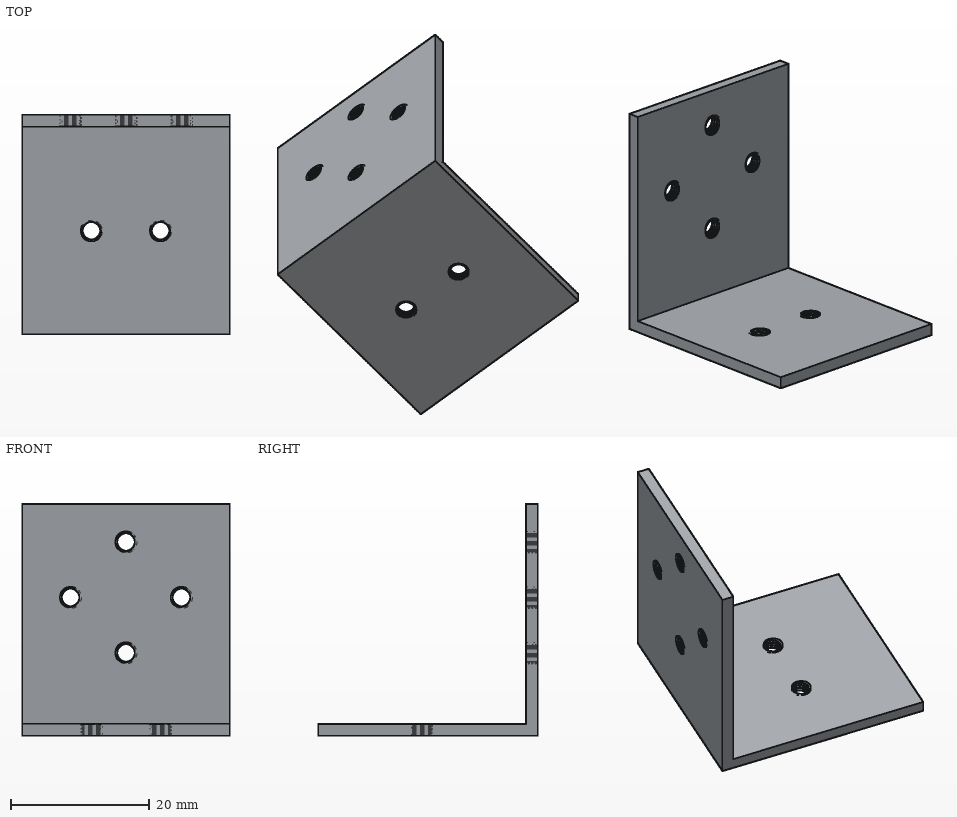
import cadquery as cq

width = 30.0
depth = 31.75
height = 33.5
thickness = 1.75

bore_diameter = 2.5
thread_diameter = 3.08
pitch = 0.5
groove_mouth = 0.45
groove_root = 0.07
overlap = 0.07
base_thread_start = 110.0
wall_thread_start = 20.0

base_hole_spacing = 9.98
base_hole_from_front = 14.97
wall_pattern_radius = 8.0
wall_pattern_height = 20.0


def threaded_cutters(start_angle):
    """Helical groove, then bore, along +Z, one pitch longer than the plate at each end."""
    length = thickness + 2 * pitch
    bore_radius = bore_diameter / 2
    inner_radius = bore_radius - overlap
    bore = cq.Workplane("XY").circle(bore_radius).extrude(length)
    helix = cq.Wire.makeHelix(pitch, length, bore_radius)
    profile = (
        cq.Workplane("XZ")
        .moveTo(inner_radius, -groove_mouth / 2)
        .lineTo(thread_diameter / 2, -groove_root / 2)
        .lineTo(thread_diameter / 2, groove_root / 2)
        .lineTo(inner_radius, groove_mouth / 2)
        .close()
    )
    groove = profile.sweep(cq.Workplane(helix), isFrenet=True)
    parts = (groove, bore)
    return [p.translate((0, 0, -pitch)).rotate((0, 0, 0), (0, 0, 1), start_angle) for p in parts]


base = cq.Workplane("XY").box(width, depth, thickness, centered=(True, False, False))
wall = (
    cq.Workplane("XY")
    .box(width, thickness, height, centered=(True, False, False))
    .translate((0, depth - thickness, 0))
)
result = base.union(wall)

base_cutters = threaded_cutters(base_thread_start)
for side in (-1, 1):
    hole_place = (side * base_hole_spacing / 2, base_hole_from_front, 0)
    for cutter in base_cutters:
        result = result.cut(cutter.translate(hole_place))

wall_cutters = [
    cutter.rotate((0, 0, 0), (1, 0, 0), 90) for cutter in threaded_cutters(wall_thread_start)
]
for across, up in ((-1, 0), (1, 0), (0, -1), (0, 1)):
    hole_place = (
        across * wall_pattern_radius,
        depth,
        wall_pattern_height + up * wall_pattern_radius,
    )
    for cutter in wall_cutters:
        result = result.cut(cutter.translate(hole_place))